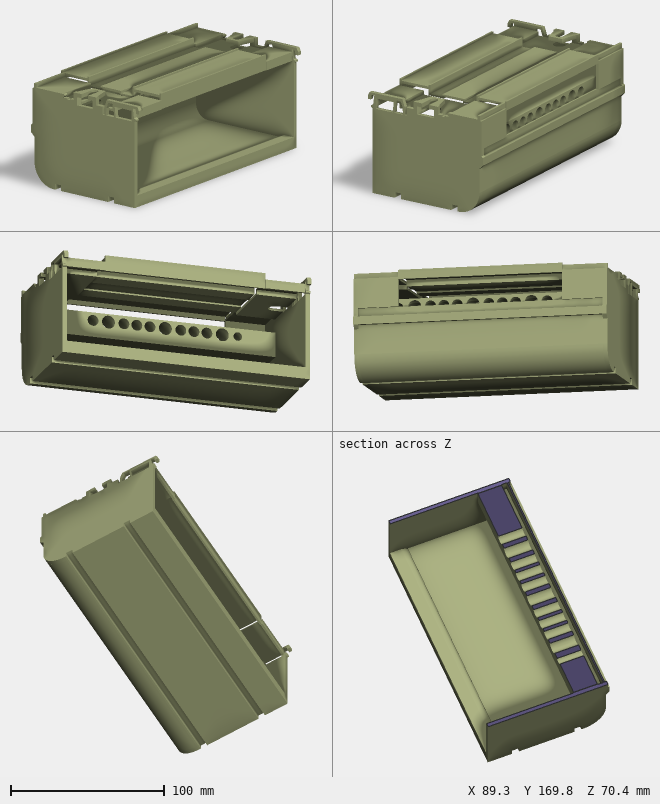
import cadquery as cq

LENGTH = 169.8
END_PLATE = 2.9
CAP_LENGTH = 29.9
HALF_LENGTH = LENGTH / 2
HALF_INNER = HALF_LENGTH - END_PLATE
HALF_WINDOW = HALF_LENGTH - CAP_LENGTH

BEAD_BOTTOM = 35.3
BEAD_TOP = 40.6
BEAD_BEVEL = 0.9
SIDE_X = 1.1
LOWER_X = 2.7
CORNER_RADIUS = 16.0
BACK_X = 85.8
GROOVES_X = (19.9, 63.7)
GROOVE_WIDTH = 4.9
GROOVE_DEPTH = 3.9

HOUSING_TOP = 46.2
UPPER_X = 2.5
WALL = 2.0
UPPER_WALL = 1.2
FLOOR = 6.0
SHELF_TOP = 37.3
SHELF_SHEET = 2.0

RAIL_X = 73.3
RAIL_SIDE = 5.3
RAIL_TOP = 8.0
RAIL_FLAT_X = 78.0
RAIL_RADIUS = 9.0

BLOCK_X = 7.4
BLOCK_END_X = 24.4
BLOCK_TOP = 52.1
HOLE_Z = 46.6
HOLE_ROW_Y = 6.45
LARGE_HOLE = 8.8
SMALL_HOLE = 7.4
OUTER_HOLE = 5.8
LARGE_PITCH = 39.1
LARGE_OFFSETS = (-LARGE_PITCH, 0, LARGE_PITCH)
SMALL_PAIR_OFFSETS = (10.6, 19.6, 28.5)
OUTER_OFFSET = LARGE_PITCH + 10.6

LID_TOP = 70.4
LID_DECK = 69.2
LID_SHEET = 1.8
LIP = 1.2
LEFT_LID_END_X = 24.4
LEFT_SKIRT = 64.3
RIGHT_LID_X = 60.3
RIGHT_LID_END_X = 84.1
RIGHT_SKIRT = 59.8
MID_SHEET = 1.1
MID_TOP = 64.3
MID_BOTTOM = MID_TOP - MID_SHEET
MID_RAISED_X = 33.7
MID_RAISED_END_X = 50.8
MID_RAISED_TOP = 65.9

RIM_X = 2.4
RIM_END_X = 4.2
LEDGE_Z = 65.7
HOOD_TOP = 66.4
HOOD_SHEET = 2.0
HOOD_STEP_X = 25.9
DECK_TOP = 63.0
DECK_BOTTOM = 61.4
BOX_X = 65.2
BOX_END_X = 84.7
BOX_TOP = 65.8
BOX_SHEET = 1.1
BOX_WALL = 1.5
BOX_FOOT = RIGHT_SKIRT

SHOULDER_X = 27.7
SHOULDER_EDGE = 0.5
SHOULDER_UNDERCUT = 1.1
NOTCH_Z = 64.0
NOTCH_GROOVE_X = 29.9
NOTCH_GROOVE_END_X = 32.1
NOTCH_GROOVE_Z = 63.2
FRAME_X = 62.5
FRAME_BAR_Z = 67.5
WINDOW_Z = 58.6
SLIT_X = 59.2
SLIT_END_X = 60.8
SMALL_WINDOW = [
    (62.0, WINDOW_Z),
    (68.8, WINDOW_Z),
    (67.9, FRAME_BAR_Z),
    (63.8, FRAME_BAR_Z),
    (62.4, 63.5),
]
LARGE_WINDOW = [(70.0, WINDOW_Z), (83.0, WINDOW_Z), (83.0, BOX_TOP), (69.2, BOX_TOP)]
HOOK_X = 89.3
HOOK_TIP_Z = 64.3
HOOK_OUTLINE = [
    (HOOK_X - 1.2, LID_DECK),
    (HOOK_X, 66.7),
    (HOOK_X, HOOK_TIP_Z),
    (87.1, HOOK_TIP_Z),
    (86.9, 66.2),
    (86.3, FRAME_BAR_Z),
]
CATCH_X = 86.9
CATCH_OUTLINE = [(84.3, FRAME_BAR_Z), (85.2, 61.1), (CATCH_X, 60.3), (CATCH_X, 59.2)]

LUG_X = 35.0
LUG_END_X = 53.8
LUG_MID_X = (LUG_X + LUG_END_X) / 2
LUG_BOTTOM = 66.4
LUG_DEPTH = 15.1
LUG_ROOT_WIDTH = 16.9
LUG_TIP_WIDTH = 10.5
LUG_SLOT = 5.4
LUG_SLOT_Y = 10.0
LUG_WINDOW_X = 37.8
LUG_WINDOW_END_X = 51.0
LUG_WINDOW_TAPER = 1.6
LUG_WINDOW_Z = 60.9
CLEARANCE = 8.8


def prism(points, half_length):
    """Closed XZ outline extruded symmetrically about Y = 0."""
    return cq.Workplane("XZ").polyline(points).close().extrude(half_length, both=True)


def box(x0, x1, y0, y1, z0, z1):
    return cq.Workplane("XY").box(x1 - x0, y1 - y0, z1 - z0, centered=False).translate((x0, y0, z0))


def cut_grooves(body):
    for x in GROOVES_X:
        body = body.cut(box(x, x + GROOVE_WIDTH, -HALF_LENGTH, HALF_LENGTH, 0, GROOVE_DEPTH))
    return body


def make_housing():
    inner_x = LOWER_X + WALL
    inner_radius = CORNER_RADIUS - FLOOR
    outline = (
        cq.Workplane("XZ")
        .moveTo(RAIL_X, 0)
        .lineTo(LOWER_X + CORNER_RADIUS, 0)
        .radiusArc((LOWER_X, CORNER_RADIUS), CORNER_RADIUS)
        .lineTo(LOWER_X, BEAD_BOTTOM)
        .lineTo(0, BEAD_BOTTOM)
        .lineTo(0, BEAD_TOP)
        .lineTo(UPPER_X, BEAD_TOP)
        .lineTo(UPPER_X, HOUSING_TOP)
        .lineTo(UPPER_X + UPPER_WALL, HOUSING_TOP)
        .lineTo(UPPER_X + UPPER_WALL, SHELF_TOP)
        .lineTo(BLOCK_END_X, SHELF_TOP)
        .lineTo(BLOCK_END_X, SHELF_TOP - SHELF_SHEET)
        .lineTo(inner_x, SHELF_TOP - SHELF_SHEET)
        .lineTo(inner_x, FLOOR + inner_radius)
        .radiusArc((inner_x + inner_radius, FLOOR), -inner_radius)
        .lineTo(RAIL_X, FLOOR)
        .close()
    )
    return cut_grooves(outline.extrude(HALF_INNER, both=True))


def make_foot_rail():
    return (
        cq.Workplane("XZ")
        .moveTo(RAIL_X, 0)
        .lineTo(RAIL_X, RAIL_SIDE)
        .radiusArc((RAIL_FLAT_X, RAIL_TOP), RAIL_RADIUS)
        .lineTo(BACK_X, RAIL_TOP)
        .lineTo(BACK_X, 0)
        .close()
        .extrude(HALF_LENGTH, both=True)
    )


def make_terminal_block():
    block = box(BLOCK_X, BLOCK_END_X, -HALF_INNER, HALF_INNER, SHELF_TOP, BLOCK_TOP)
    pairs = [side * offset for offset in SMALL_PAIR_OFFSETS for side in (-1, 1)]
    hole_groups = (
        (LARGE_OFFSETS, LARGE_HOLE),
        (pairs + [-OUTER_OFFSET], SMALL_HOLE),
        ([OUTER_OFFSET], OUTER_HOLE),
    )
    for offsets, diameter in hole_groups:
        holes = (
            cq.Workplane("YZ")
            .pushPoints([(HOLE_ROW_Y + offset, HOLE_Z) for offset in offsets])
            .circle(diameter / 2)
            .extrude(BLOCK_END_X)
        )
        block = block.cut(holes)
    return block


def make_side_lid(x0, x1, left_skirt, right_skirt):
    """Flat sheet between two walls that rise above it and hang below it."""
    deck_bottom = LID_DECK - LID_SHEET
    outline = [
        (x0, left_skirt),
        (x0, LID_TOP),
        (x0 + LIP, LID_TOP),
        (x0 + LIP, LID_DECK),
        (x1 - LIP, LID_DECK),
        (x1 - LIP, LID_TOP),
        (x1, LID_TOP),
        (x1, right_skirt),
        (x1 - LIP, right_skirt),
        (x1 - LIP, deck_bottom),
        (x0 + LIP, deck_bottom),
        (x0 + LIP, left_skirt),
    ]
    return prism(outline, HALF_WINDOW)


def make_middle_lid():
    outline = [
        (LEFT_LID_END_X, MID_BOTTOM),
        (LEFT_LID_END_X, MID_TOP),
        (MID_RAISED_X, MID_TOP),
        (MID_RAISED_X, MID_RAISED_TOP),
        (MID_RAISED_END_X, MID_RAISED_TOP),
        (MID_RAISED_END_X, MID_TOP),
        (RIGHT_LID_X, MID_TOP),
        (RIGHT_LID_X, MID_BOTTOM),
        (MID_RAISED_END_X - MID_SHEET, MID_BOTTOM),
        (MID_RAISED_END_X - MID_SHEET, MID_TOP),
        (MID_RAISED_X + MID_SHEET, MID_TOP),
        (MID_RAISED_X + MID_SHEET, MID_BOTTOM),
    ]
    return prism(outline, HALF_WINDOW)


def make_lug_window():
    """Opening under the lug that narrows inwards through the end plate."""
    return (
        cq.Workplane("XY", origin=(0, 0, LUG_WINDOW_Z))
        .polyline(
            [
                (LUG_WINDOW_X, -HALF_LENGTH),
                (LUG_WINDOW_END_X, -HALF_LENGTH),
                (LUG_WINDOW_END_X - LUG_WINDOW_TAPER, -HALF_INNER),
                (LUG_WINDOW_X + LUG_WINDOW_TAPER, -HALF_INNER),
            ]
        )
        .close()
        .extrude(LUG_BOTTOM - LUG_WINDOW_Z)
    )


def make_end_plate():
    """End plate in the XZ plane, before the rail opening."""
    plate = (
        cq.Workplane("XZ")
        .moveTo(BACK_X, 0)
        .lineTo(LOWER_X + CORNER_RADIUS, 0)
        .radiusArc((LOWER_X, CORNER_RADIUS), CORNER_RADIUS)
        .lineTo(LOWER_X, BEAD_BOTTOM - LOWER_X)
        .lineTo(0, BEAD_BOTTOM)
        .lineTo(0, BEAD_TOP)
        .lineTo(SIDE_X, BEAD_TOP + BEAD_BEVEL)
        .lineTo(SIDE_X, LEDGE_Z)
        .lineTo(RIM_X, LEDGE_Z)
        .lineTo(RIM_X, LID_DECK)
        .lineTo(RIM_END_X, LID_DECK)
        .lineTo(RIM_END_X, HOOD_TOP)
        .lineTo(SHOULDER_X - SHOULDER_EDGE, HOOD_TOP)
        .lineTo(SHOULDER_X, HOOD_TOP - SHOULDER_EDGE)
        .lineTo(SHOULDER_X, NOTCH_Z + SHOULDER_UNDERCUT)
        .lineTo(SHOULDER_X - SHOULDER_UNDERCUT, NOTCH_Z)
        .lineTo(NOTCH_GROOVE_X, NOTCH_Z)
        .lineTo(NOTCH_GROOVE_X, NOTCH_GROOVE_Z)
        .lineTo(NOTCH_GROOVE_END_X, NOTCH_GROOVE_Z)
        .lineTo(NOTCH_GROOVE_END_X, NOTCH_Z)
        .lineTo(LUG_X, NOTCH_Z)
        .lineTo(LUG_X, LID_DECK)
        .lineTo(LUG_END_X, LID_DECK)
        .lineTo(LUG_END_X, NOTCH_Z)
        .lineTo(SLIT_X, NOTCH_Z)
        .lineTo(SLIT_X, WINDOW_Z)
        .lineTo(SLIT_END_X, WINDOW_Z)
        .lineTo(SLIT_END_X, NOTCH_Z)
        .lineTo(FRAME_X, LID_DECK)
        .polyline(HOOK_OUTLINE + CATCH_OUTLINE, includeCurrent=True)
        .lineTo(BACK_X, WINDOW_Z)
        .close()
        .extrude(END_PLATE)
    )
    for outline in (SMALL_WINDOW, LARGE_WINDOW):
        plate = plate.cut(prism(outline, LENGTH))
    plate = plate.translate((0, -HALF_INNER, 0)).cut(make_lug_window())
    return cut_grooves(plate)


def make_hood():
    """Folded sheet from the side wall over the top to the open box at the back."""
    outline = [
        (SIDE_X, HOUSING_TOP),
        (SIDE_X, LEDGE_Z),
        (RIM_X, LEDGE_Z),
        (RIM_X, LID_DECK),
        (RIM_END_X, LID_DECK),
        (RIM_END_X, HOOD_TOP),
        (HOOD_STEP_X, HOOD_TOP),
        (HOOD_STEP_X, DECK_TOP),
        (BOX_X, DECK_TOP),
        (BOX_X, BOX_TOP),
        (BOX_END_X, BOX_TOP),
        (BOX_END_X, BOX_FOOT),
        (BOX_END_X - BOX_WALL, BOX_FOOT),
        (BOX_END_X - BOX_WALL, BOX_TOP - BOX_SHEET),
        (BOX_X + BOX_WALL, BOX_TOP - BOX_SHEET),
        (BOX_X + BOX_WALL, DECK_BOTTOM),
        (HOOD_STEP_X - HOOD_SHEET, DECK_BOTTOM),
        (HOOD_STEP_X - HOOD_SHEET, HOOD_TOP - HOOD_SHEET),
        (SIDE_X + HOOD_SHEET, HOOD_TOP - HOOD_SHEET),
        (SIDE_X + HOOD_SHEET, HOUSING_TOP),
    ]
    length = HALF_INNER - HALF_WINDOW
    return prism(outline, length / 2).translate((0, -HALF_INNER + length / 2, 0))


def slot_cutter(width, z0, z1):
    """Open-ended slot running in from the outer end face to a round end."""
    end_y = -HALF_LENGTH + LUG_SLOT_Y
    straight = box(LUG_MID_X - width / 2, LUG_MID_X + width / 2, -HALF_LENGTH, end_y, z0, z1)
    round_end = cq.Workplane("XY", origin=(LUG_MID_X, end_y, z0)).circle(width / 2).extrude(z1 - z0)
    return straight.union(round_end)


def make_lug():
    """Tapered tongue that reaches inwards from the end plate."""
    return (
        cq.Workplane("XY", origin=(LUG_MID_X, -HALF_INNER, LUG_BOTTOM))
        .polyline(
            [
                (-LUG_ROOT_WIDTH / 2, 0),
                (LUG_ROOT_WIDTH / 2, 0),
                (LUG_TIP_WIDTH / 2, LUG_DEPTH - END_PLATE),
                (-LUG_TIP_WIDTH / 2, LUG_DEPTH - END_PLATE),
            ]
        )
        .close()
        .extrude(LID_DECK - LUG_BOTTOM)
    )


def make_end_cap(rail):
    clearance = slot_cutter(CLEARANCE, LUG_WINDOW_Z, LUG_BOTTOM)
    hood = make_hood().cut(clearance)
    cap = make_end_plate().union(hood).union(make_lug())
    cap = cap.cut(slot_cutter(LUG_SLOT, LUG_BOTTOM, LID_TOP))
    return cap.cut(rail)


housing = make_housing()
foot_rail = make_foot_rail()
terminal_block = make_terminal_block()
left_lid = make_side_lid(SIDE_X, LEFT_LID_END_X, LEFT_SKIRT, MID_BOTTOM)
middle_lid = make_middle_lid()
right_lid = make_side_lid(RIGHT_LID_X, RIGHT_LID_END_X, MID_BOTTOM, RIGHT_SKIRT)
near_cap = make_end_cap(foot_rail)
end_caps = [near_cap, near_cap.mirror("XZ")]

result = cq.Compound.makeCompound(
    [
        housing.val(),
        foot_rail.val(),
        terminal_block.val(),
        left_lid.val(),
        middle_lid.val(),
        right_lid.val(),
        *[cap.val() for cap in end_caps],
    ]
)